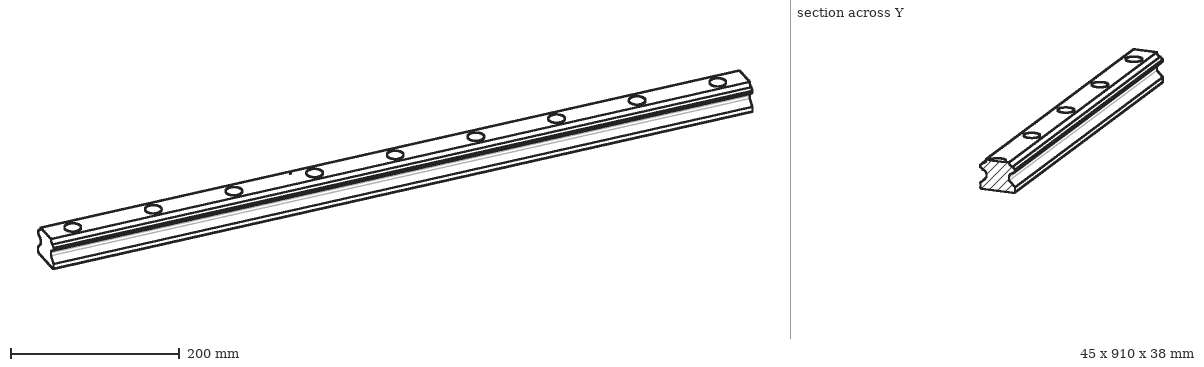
import cadquery as cq

RAIL_LENGTH = 910.0
RAIL_WIDTH = 45.0
RAIL_HEIGHT = 38.0

HALF_WIDTH = RAIL_WIDTH / 2
NECK_HALF_WIDTH = 15.0
BASE_SIDE_HEIGHT = 7.75
FOOT_SLOPE_TOP = BASE_SIDE_HEIGHT + HALF_WIDTH - NECK_HALF_WIDTH
FOOT_FILLET_RADIUS = 0.5
BASE_CHAMFER = 1.5

HEAD_MID_HEIGHT = 28.55
HEAD_SIDE_FLAT = 2.3
HEAD_BEVEL = 3.2
LIP_HALF_WIDTH = HALF_WIDTH - HEAD_BEVEL
LIP_OFFSET = HEAD_SIDE_FLAT / 2 + HEAD_BEVEL
HEAD_BOTTOM = 2 * HEAD_MID_HEIGHT - RAIL_HEIGHT

GROOVE_RADIUS = 4.6

CAP_DIAMETER = 20.0
CAP_RECESS_DEPTH = 0.5
CAP_PITCH = 105.0
CAP_COUNT = 9


def rail_body():
    """One half of the rail section, extruded along Y and mirrored about the YZ plane."""
    half_section = (
        cq.Workplane("XZ")
        .lineTo(HALF_WIDTH - BASE_CHAMFER, 0)
        .lineTo(HALF_WIDTH, BASE_CHAMFER)
        .lineTo(HALF_WIDTH, BASE_SIDE_HEIGHT)
        .lineTo(NECK_HALF_WIDTH, FOOT_SLOPE_TOP)
        .lineTo(NECK_HALF_WIDTH, HEAD_BOTTOM)
        .radiusArc((LIP_HALF_WIDTH, HEAD_MID_HEIGHT - LIP_OFFSET), GROOVE_RADIUS)
        .lineTo(HALF_WIDTH, HEAD_MID_HEIGHT - HEAD_SIDE_FLAT / 2)
        .lineTo(HALF_WIDTH, HEAD_MID_HEIGHT + HEAD_SIDE_FLAT / 2)
        .lineTo(LIP_HALF_WIDTH, HEAD_MID_HEIGHT + LIP_OFFSET)
        .radiusArc((NECK_HALF_WIDTH, RAIL_HEIGHT), GROOVE_RADIUS)
        .lineTo(0, RAIL_HEIGHT)
        .close()
    )
    half_rail = half_section.extrude(RAIL_LENGTH / 2, both=True).clean()
    foot_corner = cq.selectors.NearestToPointSelector((NECK_HALF_WIDTH, 0, FOOT_SLOPE_TOP))
    half_rail = half_rail.edges("|Y").edges(foot_corner).fillet(FOOT_FILLET_RADIUS)
    return half_rail.mirror("YZ", union=True).clean()


def cap_recesses():
    """Row of shallow round recesses along the centre of the top face."""
    return (
        cq.Workplane("XY")
        .workplane(offset=RAIL_HEIGHT - CAP_RECESS_DEPTH)
        .rarray(1, CAP_PITCH, 1, CAP_COUNT)
        .circle(CAP_DIAMETER / 2)
        .extrude(CAP_RECESS_DEPTH)
    )


result = rail_body().cut(cap_recesses())